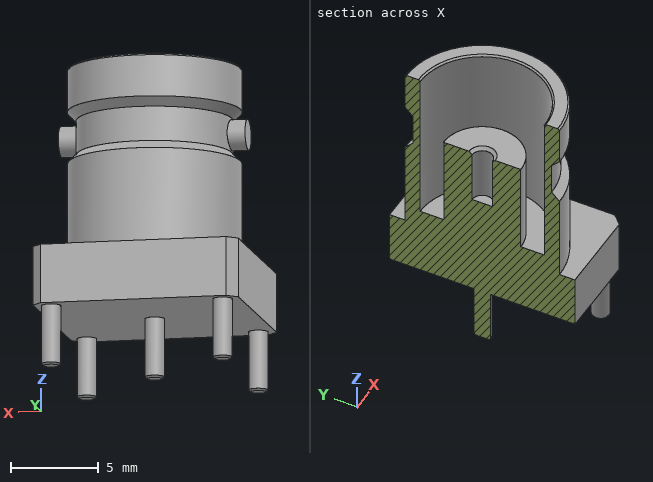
import cadquery as cq

total_height = 18.0
pin_length = 3.5
base_height = 3.42
base_top = pin_length + base_height

base_width = 12.0
base_corner_chamfer = 0.6

edge_break = 0.1

barrel_radius = 5.0
neck_radius = 4.5
groove_taper = barrel_radius - neck_radius
groove_bottom = 12.5
groove_top = 15.5

bore_radius = 4.01
bore_floor = 8.0
insulator_radius = 2.5
insulator_top = 13.9

contact_hole_radius = 0.65
contact_hole_depth = 3.6
countersink_width = 0.2

stud_radius = 0.9
stud_span = 10.9
stud_height = (groove_bottom + groove_top) / 2

pin_radius = 0.55
pin_offset = 5.0
pin_positions = [(0, 0)] + [(x, y) for x in (-pin_offset, pin_offset) for y in (-pin_offset, pin_offset)]


def revolve_about_z(profile):
    """Turn a closed (radius, height) profile around the Z axis."""
    return cq.Workplane("XZ").polyline(profile).close().revolve(360, (0, 0), (0, 1))


def make_base():
    block = cq.Workplane("XY", origin=(0, 0, pin_length)).box(
        base_width, base_width, base_height, centered=(True, True, False)
    )
    return block.edges("|Z").chamfer(base_corner_chamfer)


def make_barrel():
    return revolve_about_z([
        (0, base_top),
        (barrel_radius, base_top),
        (barrel_radius, groove_bottom),
        (neck_radius, groove_bottom + groove_taper),
        (neck_radius, groove_top - groove_taper),
        (barrel_radius, groove_top),
        (barrel_radius, total_height - edge_break),
        (barrel_radius - edge_break, total_height),
        (0, total_height),
    ])


def make_studs():
    """One cross bar whose two ends are the studs; the bore later removes its middle."""
    return cq.Workplane("YZ", origin=(-stud_span / 2, 0, stud_height)).circle(stud_radius).extrude(stud_span)


def make_bore():
    return revolve_about_z([
        (0, bore_floor),
        (bore_radius, bore_floor),
        (bore_radius, total_height - edge_break),
        (bore_radius + edge_break, total_height),
        (0, total_height),
    ])


def make_insulator():
    """Post with a countersunk blind hole in its top."""
    hole_floor = insulator_top - contact_hole_depth
    return revolve_about_z([
        (0, bore_floor),
        (insulator_radius, bore_floor),
        (insulator_radius, insulator_top),
        (contact_hole_radius + countersink_width, insulator_top),
        (contact_hole_radius, insulator_top - countersink_width),
        (contact_hole_radius, hole_floor),
        (0, hole_floor),
    ])


def make_pins():
    pins = cq.Workplane("XY").pushPoints(pin_positions).circle(pin_radius).extrude(pin_length)
    return pins.faces("<Z").edges().chamfer(edge_break)


shell = make_base().union(make_barrel()).union(make_studs()).cut(make_bore())
result = shell.union(make_insulator()).union(make_pins())